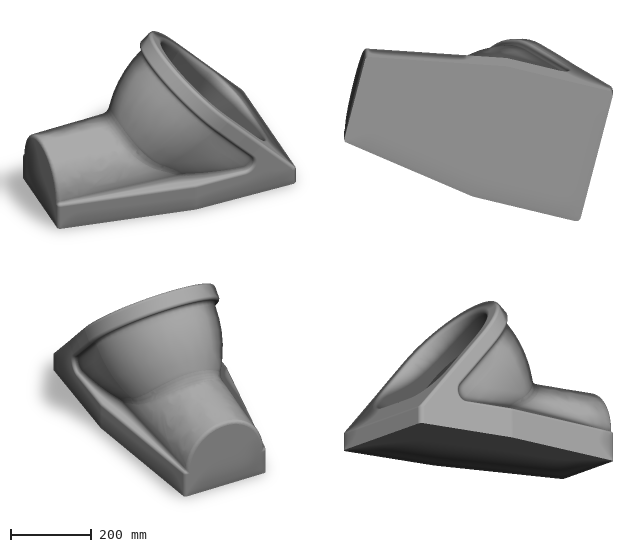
import cadquery as cq
import math

LENGTH = 617.0
BACK_Y = LENGTH / 2
FRONT_Y = -LENGTH / 2
BACK_HEIGHT = 43.0
LEDGE_HEIGHT = 76.0
BASE_HALF_WIDTH = 174.0
NOSE_HALF_WIDTH = 113.0
TAPER_START_Y = 36.0
SLOPE_EDGE_RADIUS = 8.0
LEDGE_EDGE_RADIUS = 7.5
NOSE_CORNER_RADIUS = 8.0
BACK_CORNER_RADIUS = 12.0
TAPER_BEND_RADIUS = 34.0

RIM_ANGLE = 48.9
RIM_LENGTH = 453.5
RIM_THICKNESS = 43.0
RIM_RADIUS = 175.55
RIM_CENTRE = RIM_LENGTH - RIM_RADIUS
FLARE_START = 142.0
FLARE_END = 203.5
NOTCH_RADIUS = 24.5

CAVITY_BACK = 68.5
CAVITY_FRONT = 415.0
CAVITY_HALF_WIDTH = 140.5
CAVITY_CORNER_RADIUS = 82.0
CAVITY_DEPTH = 72.0
FLOOR_BACK = 105.0
FLOOR_BACK_HALF_WIDTH = 112.0
FLOOR_FRONT_HALF_WIDTH = 119.0
FLOOR_CORNER_RADIUS = 47.5
CAVITY_EDGE_RADIUS = 12.5

BOWL_RADIUS = 160.0
BOWL_STRAIGHT_DEPTH = 55.5
BOWL_DEPTH = 234.5
BOWL_WALL_RADIUS = 302.5
BOWL_BACK = 86.5
NECK_RADIUS = 6.0

OUTLET_TOP = 192.5
OUTLET_FRONT_HALF_WIDTH = 106.0
OUTLET_BACK_HALF_WIDTH = 126.5
OUTLET_BACK_Y = 31.0
OUTLET_EDGE_RADIUS = 8.0
OUTLET_BLEND_RADIUS = 24.5

EXTENT = 1234.0
TOLERANCE = 0.05

slope_cos = math.cos(math.radians(RIM_ANGLE))
slope_sin = math.sin(math.radians(RIM_ANGLE))

notch_along = (LEDGE_HEIGHT - BACK_HEIGHT + RIM_THICKNESS * slope_cos) / slope_sin
notch_tangent = NOTCH_RADIUS / math.tan(math.radians(RIM_ANGLE / 2))
cavity_centre = CAVITY_FRONT - CAVITY_HALF_WIDTH


def slope_point(along, depth):
    """Side coordinates (y, z) of a point given along the rim plane and below it."""
    y = BACK_Y - along * slope_cos - depth * slope_sin
    z = BACK_HEIGHT + along * slope_sin - depth * slope_cos
    return y, z


def rim_workplane(depth):
    """Plane parallel to the rim: local x is part -X, local y runs up the slope."""
    y, z = slope_point(0, depth)
    return cq.Workplane(cq.Plane(origin=(0, y, z), xDir=(-1, 0, 0), normal=(0, slope_sin, slope_cos)))


def above(height):
    return cq.Workplane("XY").workplane(offset=height).rect(EXTENT, EXTENT).extrude(EXTENT)


def make_base():
    plan = [
        (-BASE_HALF_WIDTH, BACK_Y),
        (-BASE_HALF_WIDTH, TAPER_START_Y),
        (-NOSE_HALF_WIDTH, FRONT_Y),
        (NOSE_HALF_WIDTH, FRONT_Y),
        (BASE_HALF_WIDTH, TAPER_START_Y),
        (BASE_HALF_WIDTH, BACK_Y),
    ]
    return cq.Workplane("XY").polyline(plan).close().extrude(LEDGE_HEIGHT)


def make_rim_prism():
    """Rim outline swept square to the rim plane, above the ledge only."""
    outline = (
        rim_workplane(EXTENT / 2)
        .moveTo(-BASE_HALF_WIDTH, 0)
        .lineTo(-BASE_HALF_WIDTH, FLARE_START)
        .lineTo(-RIM_RADIUS, FLARE_END)
        .lineTo(-RIM_RADIUS, RIM_CENTRE)
        .threePointArc((0, RIM_LENGTH), (RIM_RADIUS, RIM_CENTRE))
        .lineTo(RIM_RADIUS, FLARE_END)
        .lineTo(BASE_HALF_WIDTH, FLARE_START)
        .lineTo(BASE_HALF_WIDTH, 0)
        .close()
    )
    return outline.extrude(EXTENT).intersect(above(LEDGE_HEIGHT))


def make_side_profile():
    """Side outline of base, slope, rim tip and notch, extruded across the width."""
    notch_y, _ = slope_point(notch_along, RIM_THICKNESS)
    notch_upper = slope_point(notch_along + notch_tangent, RIM_THICKNESS)
    notch_lower = (notch_y - notch_tangent, LEDGE_HEIGHT)
    return (
        cq.Workplane("YZ")
        .moveTo(BACK_Y, 0)
        .lineTo(*slope_point(0, 0))
        .lineTo(*slope_point(RIM_LENGTH, 0))
        .lineTo(*slope_point(RIM_LENGTH, RIM_THICKNESS))
        .lineTo(*notch_upper)
        .radiusArc(notch_lower, NOTCH_RADIUS)
        .lineTo(FRONT_Y, LEDGE_HEIGHT)
        .lineTo(FRONT_Y, 0)
        .close()
        .extrude(EXTENT / 2, both=True)
    )


def make_bowl():
    """Rounded wall revolved at the rim's half-round end and run straight towards the back."""
    drop = BOWL_DEPTH - BOWL_STRAIGHT_DEPTH
    centre_radius = BOWL_RADIUS - BOWL_WALL_RADIUS
    foot_radius = centre_radius + math.sqrt(BOWL_WALL_RADIUS**2 - drop**2)
    mid_angle = math.asin(drop / BOWL_WALL_RADIUS) / 2
    mid = (
        centre_radius + BOWL_WALL_RADIUS * math.cos(mid_angle),
        -BOWL_STRAIGHT_DEPTH - BOWL_WALL_RADIUS * math.sin(mid_angle),
    )
    top = -RIM_THICKNESS / 2
    y, z = slope_point(RIM_CENTRE, 0)
    plane = cq.Plane(origin=(0, y, z), xDir=(1, 0, 0), normal=(0, -slope_cos, slope_sin))
    outline = (
        cq.Workplane(plane)
        .moveTo(0, top)
        .lineTo(BOWL_RADIUS, top)
        .lineTo(BOWL_RADIUS, -BOWL_STRAIGHT_DEPTH)
        .threePointArc(mid, (foot_radius, -BOWL_DEPTH))
        .lineTo(0, -BOWL_DEPTH)
        .close()
    )
    section = cq.Workplane(plane).add(outline.wires()).toPending()
    half = section.extrude(BOWL_BACK - RIM_CENTRE)
    straight = half.union(half.mirror("YZ"))
    rounded = cq.Workplane(plane).add(outline.wires()).toPending().revolve(360, (0, 0, 0), (0, 1, 0))
    return straight.union(rounded).intersect(above(LEDGE_HEIGHT / 2))


def outlet_arch(workplane, half_width):
    """Straight legs up to the ledge, closed by a half ellipse."""
    return (
        workplane.moveTo(half_width, 0)
        .lineTo(half_width, LEDGE_HEIGHT)
        .ellipseArc(half_width, OUTLET_TOP - LEDGE_HEIGHT, 0, 180, sense=1)
        .lineTo(-half_width, 0)
        .close()
    )


def make_outlet():
    front = outlet_arch(cq.Workplane("XZ", origin=(0, FRONT_Y, 0)), OUTLET_FRONT_HALF_WIDTH)
    both = outlet_arch(front.workplane(offset=FRONT_Y - OUTLET_BACK_Y), OUTLET_BACK_HALF_WIDTH)
    return both.loft(ruled=True)


def cavity_outline(workplane, back, corner, back_half_width, front_half_width):
    """Rounded back corners, straight sides and a round front, on a plane along the rim."""
    flat = back_half_width - corner
    diagonal = corner * math.sqrt(0.5)
    corner_x = flat + diagonal
    corner_y = back + corner - diagonal
    return (
        workplane.moveTo(-flat, back)
        .lineTo(flat, back)
        .threePointArc((corner_x, corner_y), (back_half_width, back + corner))
        .lineTo(front_half_width, cavity_centre)
        .threePointArc((0, cavity_centre + front_half_width), (-front_half_width, cavity_centre))
        .lineTo(-back_half_width, back + corner)
        .threePointArc((-corner_x, corner_y), (-flat, back))
        .close()
    )


def make_cavity():
    opening = cavity_outline(
        rim_workplane(0), CAVITY_BACK, CAVITY_CORNER_RADIUS, CAVITY_HALF_WIDTH, CAVITY_HALF_WIDTH
    )
    both = cavity_outline(
        opening.workplane(offset=-CAVITY_DEPTH),
        FLOOR_BACK, FLOOR_CORNER_RADIUS, FLOOR_BACK_HALF_WIDTH, FLOOR_FRONT_HALF_WIDTH,
    )
    return both.loft(ruled=True)


def lies_on_slope(edge):
    """True for edges in the rim plane, leaving out the top of the back wall."""
    for fraction in (0, 0.5, 1):
        point = edge.positionAt(fraction)
        height = (point.y - BACK_Y) * slope_sin + (point.z - BACK_HEIGHT) * slope_cos
        if abs(height) > TOLERANCE:
            return False
    return edge.Center().y < BACK_Y - BACK_CORNER_RADIUS / 4


def edge_near(x, y, z):
    return cq.selectors.NearestToPointSelector((x, y, z))


def make_base_and_rim():
    body = make_base().union(make_rim_prism()).intersect(make_side_profile()).clean()
    ledge_side = edge_near(BASE_HALF_WIDTH, TAPER_START_Y, LEDGE_HEIGHT)
    bend_y = (-EXTENT, TAPER_START_Y - TOLERANCE, 0), (EXTENT, TAPER_START_Y + TOLERANCE, LEDGE_HEIGHT)
    body = body.edges("|Z and >Y").fillet(BACK_CORNER_RADIUS)
    body = body.edges(cq.selectors.BoxSelector(*bend_y)).fillet(TAPER_BEND_RADIUS)
    body = body.edges("|Z and <Y").fillet(NOSE_CORNER_RADIUS)
    body = body.edges(ledge_side).fillet(LEDGE_EDGE_RADIUS)
    slope_edges = [edge for edge in body.edges().vals() if lies_on_slope(edge)]
    return body.newObject(slope_edges).fillet(SLOPE_EDGE_RADIUS)


def make_bowl_and_outlet():
    outlet = make_outlet().edges(edge_near(0, FRONT_Y, OUTLET_TOP)).fillet(OUTLET_EDGE_RADIUS)
    upper = make_bowl().union(outlet)
    joint_y, _ = slope_point(RIM_CENTRE, BOWL_DEPTH)
    return upper.edges(edge_near(0, joint_y, OUTLET_TOP)).fillet(OUTLET_BLEND_RADIUS)


body = make_base_and_rim().union(make_bowl_and_outlet())
neck_side = slope_point((RIM_CENTRE + notch_along + notch_tangent) / 2, RIM_THICKNESS)
body = body.edges(edge_near(BOWL_RADIUS, *neck_side)).fillet(NECK_RADIUS)
body = body.cut(make_cavity())
cavity_side = slope_point((CAVITY_BACK + CAVITY_CORNER_RADIUS + cavity_centre) / 2, 0)
result = body.edges(edge_near(CAVITY_HALF_WIDTH, *cavity_side)).fillet(CAVITY_EDGE_RADIUS)